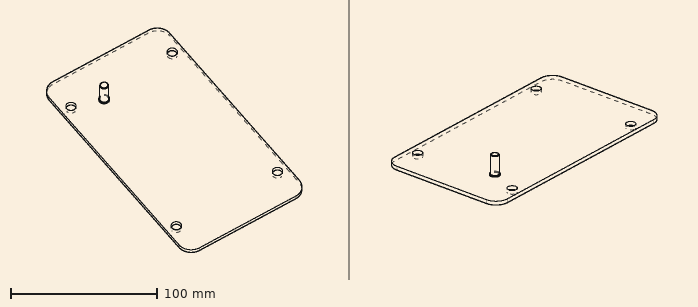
import cadquery as cq

plate_length = 177.0
plate_width = 100.0
plate_thickness = 3.0
corner_radius = 10.1

hole_diameter = 7.0
hole_spacing_x = 127.0
hole_spacing_y = 84.0

stud_x = -55.5
stud_y = -20.0
stud_diameter = 6.0
stud_tip_chamfer = 0.5
total_height = 19.0
flange_diameter = 7.5
flange_thickness = 0.9


def make_plate():
    plate = cq.Workplane("XY").box(
        plate_length, plate_width, plate_thickness, centered=(True, True, False)
    )
    return plate.edges("|Z").fillet(corner_radius)


def drill_mounting_holes(plate):
    return (
        plate.faces(">Z")
        .workplane(origin=(0, 0, plate_thickness))
        .rarray(hole_spacing_x, hole_spacing_y, 2, 2)
        .hole(hole_diameter)
    )


def make_stud():
    base = cq.Workplane("XY", origin=(stud_x, stud_y, plate_thickness))
    flange = base.circle(flange_diameter / 2).extrude(flange_thickness)
    shank = base.circle(stud_diameter / 2).extrude(total_height - plate_thickness)
    shank = shank.faces(">Z").chamfer(stud_tip_chamfer)
    return flange.union(shank)


result = drill_mounting_holes(make_plate()).union(make_stud())